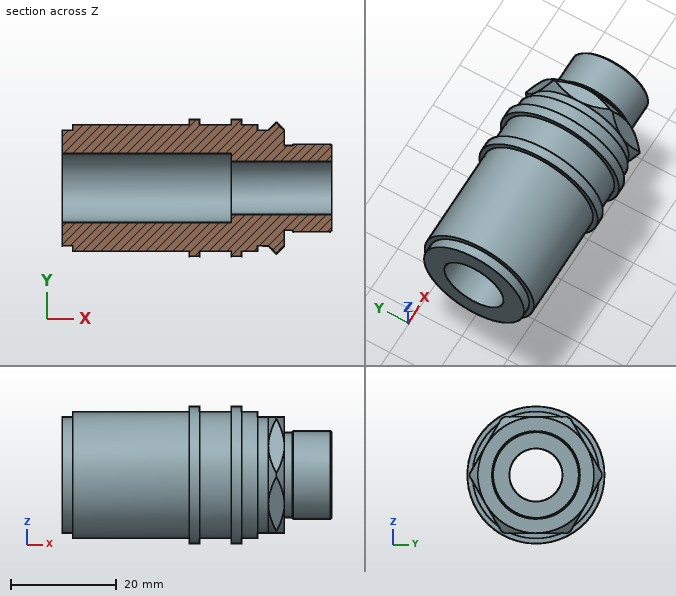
import cadquery as cq
import math

total_length = 51.0

nose_diameter = 22.0
nose_length = 2.0
sleeve_diameter = 24.0
sleeve_end = 37.0
ring_diameter = 26.0
ring_width = 2.0
ring_starts = (24.0, 32.0)

hex_start = 39.0
hex_width = 3.0
hex_across_flats = nose_diameter
hex_end = hex_start + hex_width
collar_diameter = hex_across_flats

thread_diameter = 16.7
thread_start = 43.5
thread_chamfer = 0.25
neck_diameter = thread_diameter - 2 * thread_chamfer

bore_diameter = 10.0
wide_bore_diameter = 13.0
wide_bore_depth = ring_starts[1]


def cylinder(diameter, start, end):
    """Solid cylinder on the X axis between two X positions."""
    return cq.Workplane("YZ", origin=(start, 0, 0)).circle(diameter / 2).extrude(end - start)


def make_sleeve():
    sleeve = cylinder(nose_diameter, 0, nose_length)
    sleeve = sleeve.union(cylinder(sleeve_diameter, nose_length, sleeve_end))
    for ring_start in ring_starts:
        sleeve = sleeve.union(cylinder(ring_diameter, ring_start, ring_start + ring_width))
    return sleeve.union(cylinder(collar_diameter, sleeve_end, hex_start))


def make_hexagon():
    """Hexagon with flats facing +Z and -Z, pointed all round by a double cone."""
    across_corners = hex_across_flats / math.cos(math.pi / 6)
    prism = (
        cq.Workplane("YZ", origin=(hex_start, 0, 0))
        .polygon(6, across_corners)
        .extrude(hex_width)
    )
    cone_base_radius = hex_across_flats / 2
    cone_tip_radius = cone_base_radius + hex_width / 2
    double_cone = (
        cq.Workplane("XY")
        .moveTo(hex_start, 0)
        .lineTo(hex_start, cone_base_radius)
        .lineTo(hex_start + hex_width / 2, cone_tip_radius)
        .lineTo(hex_end, cone_base_radius)
        .lineTo(hex_end, 0)
        .close()
        .revolve(360, (0, 0, 0), (1, 0, 0))
    )
    return prism.intersect(double_cone)


def make_threaded_end():
    thread = cylinder(thread_diameter, thread_start, total_length)
    thread = thread.faces("<X or >X").chamfer(thread_chamfer)
    return thread.union(cylinder(neck_diameter, hex_end, thread_start))


def make_bore():
    return cylinder(bore_diameter, 0, total_length).union(cylinder(wide_bore_diameter, 0, wide_bore_depth))


body = make_sleeve().union(make_hexagon()).union(make_threaded_end())
result = body.cut(make_bore())